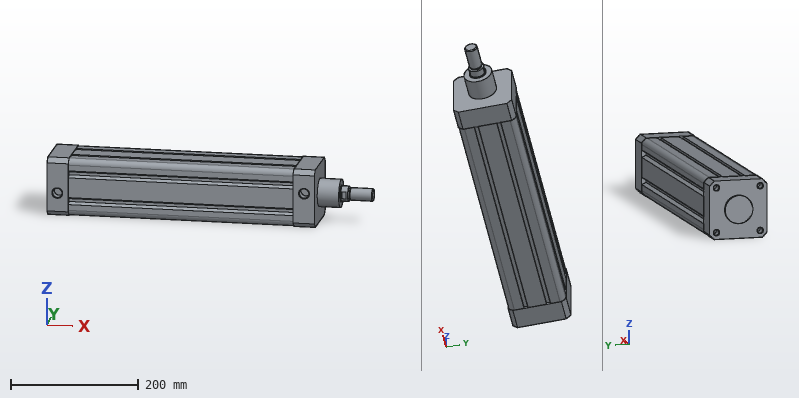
import cadquery as cq


cap_width = 94.0
cap_length = 34.0
cap_corner_chamfer = 8.0
port_diameter = 15.0
port_chamfer = 1.0
port_depth = 15.5
port_inset = 16.5
port_offset = 9.5
screw_hole_diameter = 8.5
screw_hole_chamfer = 1.0
screw_hole_depth = 15.5
screw_hole_offset = 36.0
boss_diameter = 45.0
boss_length = 4.0
nose_length = 34.0
collar_diameter = 27.0
collar_length = 1.5

tube_length = 359.5
tube_width = 92.0
tube_corner_radius = 9.5
side_groove_offset = 22.0
side_groove_mouth = 11.5
side_groove_floor = 4.5
side_groove_depth = 6.5
top_slot_offset = 18.0
top_slot_width = 6.0
top_slot_depth = 3.5

rod_diameter = 25.0
rod_shoulder_length = 11.0
flat_length = 6.5
flat_inset = 1.5
across_flats = 22.5
neck_length = 2.0
stud_diameter = 20.0
stud_chamfer = 1.5
neck_diameter = stud_diameter - 2 * stud_chamfer

overall_length = 518.0
rod_tip_x = overall_length - boss_length
front_cap_x = cap_length + tube_length
nose_x = front_cap_x + cap_length
collar_x = nose_x + nose_length
rod_x = collar_x + collar_length


def cylinder(x, diameter, length):
    """Round bar along the X axis, starting at x."""
    return cq.Workplane("YZ", origin=(x, 0, 0)).circle(diameter / 2).extrude(length)


def make_hole_cutter(mouth, direction, diameter, depth, chamfer):
    """Blind hole with a chamfered mouth, drilled from the mouth along direction."""
    radius = diameter / 2
    point = cq.Vector(*mouth)
    axis = cq.Vector(*direction)
    drill = cq.Solid.makeCylinder(radius, depth, point, axis)
    countersink = cq.Solid.makeCone(radius + chamfer, radius, chamfer, point, axis)
    return cq.Workplane(drill).union(cq.Workplane(countersink))


def make_cap_block(x, port_x, port_z):
    """Square cap with chamfered corners and one port in its -Y side."""
    block = (
        cq.Workplane("YZ", origin=(x, 0, 0))
        .rect(cap_width, cap_width)
        .extrude(cap_length)
        .edges("|X")
        .chamfer(cap_corner_chamfer)
    )
    mouth = (port_x, -cap_width / 2, port_z)
    port = make_hole_cutter(mouth, (0, 1, 0), port_diameter, port_depth, port_chamfer)
    return block.cut(port)


def make_rear_cap():
    """Rear cap with a centring boss and four blind screw holes."""
    cap = make_cap_block(0, port_inset, -port_offset)
    cap = cap.union(cylinder(-boss_length, boss_diameter, boss_length))
    for y in (-screw_hole_offset, screw_hole_offset):
        for z in (-screw_hole_offset, screw_hole_offset):
            hole = make_hole_cutter(
                (0, y, z), (1, 0, 0), screw_hole_diameter, screw_hole_depth, screw_hole_chamfer
            )
            cap = cap.cut(hole)
    return cap


def make_front_cap():
    """Front cap with the long nose and a small collar that the rod stands on."""
    cap = make_cap_block(front_cap_x, nose_x - port_inset, port_offset)
    cap = cap.union(cylinder(nose_x, boss_diameter, nose_length))
    return cap.union(cylinder(collar_x, collar_diameter, collar_length))


def make_tube():
    """Square tube: two tapered grooves in each Y side, two plain slots in each Z side."""
    half = tube_width / 2
    tube = (
        cq.Workplane("YZ", origin=(cap_length, 0, 0))
        .rect(tube_width, tube_width)
        .extrude(tube_length)
        .edges("|X")
        .fillet(tube_corner_radius)
    )
    for side in (-1, 1):
        for place in (-1, 1):
            groove_z = place * side_groove_offset
            groove = (
                cq.Workplane("YZ", origin=(cap_length, 0, groove_z))
                .moveTo(side * half, side_groove_mouth / 2)
                .lineTo(side * (half - side_groove_depth), side_groove_floor / 2)
                .lineTo(side * (half - side_groove_depth), -side_groove_floor / 2)
                .lineTo(side * half, -side_groove_mouth / 2)
                .close()
                .extrude(tube_length)
            )
            slot = (
                cq.Workplane("YZ", origin=(cap_length, 0, 0))
                .center(place * top_slot_offset, side * (half - top_slot_depth / 2))
                .rect(top_slot_width, top_slot_depth)
                .extrude(tube_length)
            )
            tube = tube.cut(groove).cut(slot)
    return tube


def make_rod():
    """Rod end: shoulder with two wrench flats, a neck and a chamfered stud."""
    shoulder = cylinder(rod_x, rod_diameter, rod_shoulder_length)
    flat_x = rod_x + flat_inset + flat_length / 2
    for side in (-1, 1):
        flat_y = side * (across_flats + rod_diameter) / 2
        flat_cut = cq.Workplane("XY", origin=(flat_x, flat_y, 0)).box(flat_length, rod_diameter, rod_diameter)
        shoulder = shoulder.cut(flat_cut)
    neck_x = rod_x + rod_shoulder_length
    stud_x = neck_x + neck_length
    neck = cylinder(neck_x, neck_diameter, neck_length)
    stud = cylinder(stud_x, stud_diameter, rod_tip_x - stud_x).faces("<X or >X").chamfer(stud_chamfer)
    return shoulder.union(neck).union(stud)


rear_cap = make_rear_cap()
tube = make_tube()
front_cap = make_front_cap()
rod = make_rod()

result = cq.Compound.makeCompound([rear_cap.val(), tube.val(), front_cap.val(), rod.val()])